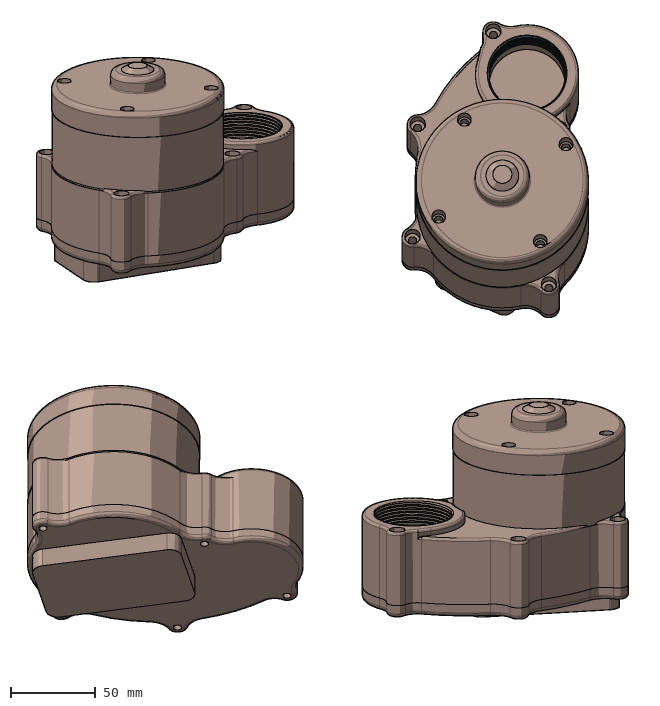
import cadquery as cq
import math

BLOCK_DROP = 12.3
COVER_TOP = 7.7
CASE_TOP = 48.4
COLLAR_TOP = 52.7
CAN_TOP = 81.5
CAP_TOP = 96.9
BOSS_TOP = 106.1
SHAFT_TOP = 108.7

COVER_ROUND = 2.5
CASE_ROUND = 1.6
CAP_ROUND = 3.2
BOSS_FOOT_ROUND = 0.6

MOTOR_WALL = (0.0, 0.0, 50.8)
COLLAR_WALL = (-20.3, 78.5, 30.3)
SIDE_WALL = (42.3, 35.5, 104.7)
LUG_RADIUS = 6.2
TOP_LUG = (-49.2, 93.7, LUG_RADIUS)
WAIST_LUG = (10.7, 56.8, LUG_RADIUS)
SIDE_LUG = (-66.0, 24.3, LUG_RADIUS)
LOWER_LEFT_LUG = (-39.7, -39.9, LUG_RADIUS)
LOWER_RIGHT_LUG = (45.3, -32.9, LUG_RADIUS)
LUGS = [TOP_LUG, WAIST_LUG, SIDE_LUG, LOWER_LEFT_LUG, LOWER_RIGHT_LUG]

LUG_BLEND = 12.8
TOP_LUG_BLEND = 9.3
COLLAR_BLEND = 95.8

LUG_BORE_RADIUS = 2.4
LUG_HEAD_RADIUS = 4.5
CAP_BORE_RADIUS = 2.7
CAP_HEAD_RADIUS = 4.0
HEAD_DEPTH = 8.0
CAP_SCREW_CIRCLE = 43.5
CAP_SCREW_COUNT = 4
CAP_SCREW_START = 55.6

PORT_RADIUS = 22.5
PORT_DEPTH = 25.4
THREAD_DEPTH = 1.0
THREAD_LENGTH = 15.3
THREAD_HALF_WIDTH = 0.88
THREAD_TURNS = 7.6
THREAD_PITCH = THREAD_LENGTH / THREAD_TURNS
THREAD_OVERLAP = 0.3

CAN_RADIUS = 50.5
CAP_RADIUS = 50.8
CAN_CLEARANCE = 2.0
BOSS_RADIUS = 16.0
SHAFT_RADIUS = 9.5
SHAFT_TIP_RADIUS = 5.6

BLOCK_WIDTH = 51.2
BLOCK_LENGTH = 89.4
BLOCK_CORNER = 7.2


def cylinder(x, y, radius, bottom, top):
    """Upright cylinder between two heights."""
    return cq.Workplane("XY").workplane(offset=bottom).center(x, y).circle(radius).extrude(top - bottom)


def blend_centre(wall_a, wall_b, blend):
    """Centre of the arc that touches both walls from outside, left of the way from a to b."""
    reach_a = wall_a[2] + blend
    reach_b = wall_b[2] + blend
    dx = wall_b[0] - wall_a[0]
    dy = wall_b[1] - wall_a[1]
    gap = math.hypot(dx, dy)
    along = (gap**2 + reach_a**2 - reach_b**2) / (2 * gap)
    aside = math.sqrt(reach_a**2 - along**2)
    return (
        wall_a[0] + (along * dx - aside * dy) / gap,
        wall_a[1] + (along * dy + aside * dx) / gap,
    )


def point_toward(centre, target, radius):
    """Point at the given radius from the centre, in the direction of the target."""
    angle = math.atan2(target[1] - centre[1], target[0] - centre[0])
    return (centre[0] + radius * math.cos(angle), centre[1] + radius * math.sin(angle))


def clockwise_middle(wall, start, end):
    """Middle of the clockwise arc of a wall from start to end."""
    first = math.atan2(start[1] - wall[1], start[0] - wall[0])
    last = math.atan2(end[1] - wall[1], end[0] - wall[0])
    middle = first - ((first - last) % (2 * math.pi)) / 2
    return (wall[0] + wall[2] * math.cos(middle), wall[1] + wall[2] * math.sin(middle))


def blended_prism(chain, bottom, top):
    """Prism whose outline runs clockwise round the walls, each (wall, blend to the next wall)."""
    joints = []
    for index, (wall, blend) in enumerate(chain):
        following = chain[(index + 1) % len(chain)][0]
        centre = blend_centre(wall, following, blend)
        leave = point_toward(wall, centre, wall[2])
        enter = point_toward(following, centre, following[2])
        halfway = ((leave[0] + enter[0]) / 2, (leave[1] + enter[1]) / 2)
        joints.append((leave, point_toward(centre, halfway, blend), enter))

    position = joints[-1][2]
    outline = cq.Workplane("XY").workplane(offset=bottom).moveTo(*position)
    for (wall, _), (leave, middle, enter) in zip(chain, joints):
        outline = outline.threePointArc(clockwise_middle(wall, position, leave), leave)
        outline = outline.threePointArc(middle, enter)
        position = enter
    return outline.close().extrude(top - bottom)


def case_prism(bottom, top):
    """Full outline of the gear case, shared by the case and its cover."""
    chain = [
        (TOP_LUG, LUG_BLEND),
        (COLLAR_WALL, LUG_BLEND),
        (WAIST_LUG, LUG_BLEND),
        (MOTOR_WALL, LUG_BLEND),
        (LOWER_RIGHT_LUG, LUG_BLEND),
        (MOTOR_WALL, LUG_BLEND),
        (LOWER_LEFT_LUG, LUG_BLEND),
        (SIDE_WALL, LUG_BLEND),
        (SIDE_LUG, LUG_BLEND),
        (SIDE_WALL, TOP_LUG_BLEND),
    ]
    return blended_prism(chain, bottom, top)


def make_collar():
    """Raised collar with the top lug, hollowed where it passes the motor can."""
    chain = [(TOP_LUG, LUG_BLEND), (COLLAR_WALL, COLLAR_BLEND)]
    collar = blended_prism(chain, COVER_TOP, COLLAR_TOP)
    collar = collar.intersect(case_prism(COVER_TOP, COLLAR_TOP))
    clearance = cylinder(0, 0, CAN_RADIUS + CAN_CLEARANCE, COVER_TOP, COLLAR_TOP)
    return collar.cut(clearance).faces(">Z").edges().fillet(CASE_ROUND)


def thread_cutter():
    """Helical V-shaped cutter that opens the thread from the collar top downward."""
    bottom = COLLAR_TOP - THREAD_LENGTH
    inner = PORT_RADIUS - THREAD_OVERLAP
    helix = cq.Wire.makeHelix(THREAD_PITCH, THREAD_LENGTH, inner)
    groove = [(inner, -THREAD_HALF_WIDTH), (inner, THREAD_HALF_WIDTH), (PORT_RADIUS + THREAD_DEPTH, 0)]
    profile = cq.Workplane("XZ").polyline(groove)
    cutter = profile.close().sweep(cq.Workplane(helix), isFrenet=True)
    return cutter.translate((COLLAR_WALL[0], COLLAR_WALL[1], bottom))


def port_chamfer():
    """Cone that opens the mouth of the port to the root of the thread."""
    mouth = cq.Vector(COLLAR_WALL[0], COLLAR_WALL[1], COLLAR_TOP)
    root_radius = PORT_RADIUS + THREAD_DEPTH
    return cq.Workplane(cq.Solid.makeCone(root_radius, PORT_RADIUS, THREAD_DEPTH, mouth, cq.Vector(0, 0, -1)))


def make_case():
    """Gear case with its collar, motor seat, screw holes and threaded port."""
    case = case_prism(COVER_TOP, CASE_TOP).faces(">Z").edges().fillet(CASE_ROUND)
    case = case.union(make_collar())
    case = case.cut(cylinder(0, 0, CAN_RADIUS, CASE_TOP - CASE_ROUND, CASE_TOP))
    for lug in LUGS:
        top = COLLAR_TOP if lug is TOP_LUG else CASE_TOP
        case = case.cut(cylinder(lug[0], lug[1], LUG_BORE_RADIUS, COVER_TOP, top))
        case = case.cut(cylinder(lug[0], lug[1], LUG_HEAD_RADIUS, top - HEAD_DEPTH, top))
    port_x, port_y, _ = COLLAR_WALL
    case = case.cut(cylinder(port_x, port_y, PORT_RADIUS, COLLAR_TOP - PORT_DEPTH, COLLAR_TOP))
    case = case.cut(port_chamfer())
    return case.cut(thread_cutter())


def make_cover():
    """Cover plate under the case, with the mounting block below it."""
    cover = case_prism(0, COVER_TOP).faces("<Z").edges().fillet(COVER_ROUND)
    block = (
        cq.Workplane("XY")
        .workplane(offset=-BLOCK_DROP)
        .rect(BLOCK_WIDTH, BLOCK_LENGTH)
        .extrude(BLOCK_DROP + COVER_ROUND)
        .edges("|Z")
        .fillet(BLOCK_CORNER)
    )
    cover = cover.union(block)
    for x, y, _ in LUGS:
        cover = cover.cut(cylinder(x, y, LUG_BORE_RADIUS, 0, COVER_TOP))
    return cover


def make_can():
    """Motor can, standing in its seat in the gear case."""
    return cylinder(0, 0, CAN_RADIUS, CASE_TOP - CASE_ROUND, CAN_TOP)


def make_cap():
    """End cap with a bearing boss, four counterbored screw holes and the shaft bore."""
    cap = cylinder(0, 0, CAP_RADIUS, CAN_TOP, CAP_TOP).faces(">Z").edges().fillet(CAP_ROUND)
    boss = cylinder(0, 0, BOSS_RADIUS, CAP_TOP, BOSS_TOP).faces(">Z").edges().fillet(CAP_ROUND)
    cap = cap.union(boss)
    boss_foot = cq.selectors.BoxSelector(
        (-BOSS_RADIUS, -BOSS_RADIUS, CAP_TOP - BOSS_FOOT_ROUND),
        (BOSS_RADIUS, BOSS_RADIUS, CAP_TOP + BOSS_FOOT_ROUND),
    )
    cap = cap.edges("%CIRCLE").edges(boss_foot).fillet(BOSS_FOOT_ROUND)
    for index in range(CAP_SCREW_COUNT):
        angle = math.radians(CAP_SCREW_START + index * 360 / CAP_SCREW_COUNT)
        x = CAP_SCREW_CIRCLE * math.cos(angle)
        y = CAP_SCREW_CIRCLE * math.sin(angle)
        cap = cap.cut(cylinder(x, y, CAP_BORE_RADIUS, CAN_TOP, CAP_TOP))
        cap = cap.cut(cylinder(x, y, CAP_HEAD_RADIUS, CAP_TOP - HEAD_DEPTH, CAP_TOP))
    return cap.cut(cylinder(0, 0, SHAFT_RADIUS, CAN_TOP, BOSS_TOP))


def make_shaft():
    """Motor shaft standing on the can, with a chamfered tip above the boss."""
    shaft = cylinder(0, 0, SHAFT_RADIUS, CAN_TOP, SHAFT_TOP)
    return shaft.faces(">Z").chamfer(SHAFT_TOP - BOSS_TOP, SHAFT_RADIUS - SHAFT_TIP_RADIUS)


case = make_case()
cover = make_cover()
can = make_can()
cap = make_cap()
shaft = make_shaft()

result = cq.Compound.makeCompound([case.val(), cover.val(), can.val(), cap.val(), shaft.val()])